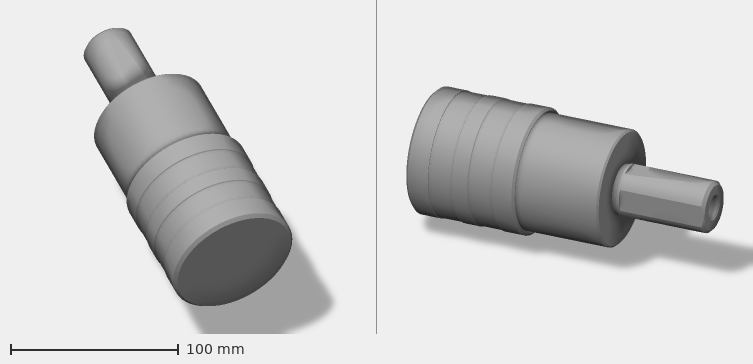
import cadquery as cq
import math

TOTAL_LENGTH = 184.55

SHANK_LENGTH = 60.0
SHANK_RADIUS = 16.0
SHANK_CHAMFER = 2.0
NECK_LENGTH = 2.6
NECK_DEPTH = 0.5

BODY_RADIUS = 36.0
BODY_CHAMFER = 1.2

COLLAR_RADIUS = 39.0
COLLAR_START = 53.55
COLLAR_FRONT_CHAMFER = 1.5
COLLAR_RECESS = 1.0
COLLAR_REAR_CHAMFER = 2.0
GROOVE_DEPTH = 0.5
FRONT_GROOVE_START = 68.4
FRONT_GROOVE_END = 84.0
REAR_GROOVE_START = 94.6
REAR_GROOVE_END = 109.55

FLAT_END = -5.0
SIDE_FLAT_OFFSET = 14.4
SLOPED_FLAT_ANGLE = 2.0
SLOPED_FLAT_LENGTH = 49.6
CUTTER_MARGIN = 5.0

BORE_RADIUS = 7.0
BORE_DEPTH = 40.0
BORE_CHAMFER = 1.0
STUB_RADIUS = 6.0
STUB_LENGTH = 10.0

SHANK_END = -SHANK_LENGTH
REAR_END = SHANK_END + TOTAL_LENGTH


def revolve_profile(points):
    """Turn a closed (x, radius) outline about the X axis."""
    outline = cq.Workplane("XY").polyline(points).close()
    return outline.revolve(360, (0, 0, 0), (1, 0, 0))


def turned_blank():
    neck_start = -NECK_LENGTH
    neck_radius = SHANK_RADIUS - NECK_DEPTH
    groove_radius = COLLAR_RADIUS - GROOVE_DEPTH
    return revolve_profile([
        (SHANK_END, 0),
        (SHANK_END, SHANK_RADIUS - SHANK_CHAMFER),
        (SHANK_END + SHANK_CHAMFER, SHANK_RADIUS),
        (neck_start - NECK_DEPTH, SHANK_RADIUS),
        (neck_start, neck_radius),
        (0, neck_radius),
        (0, BODY_RADIUS - BODY_CHAMFER),
        (BODY_CHAMFER, BODY_RADIUS),
        (COLLAR_START + COLLAR_RECESS, BODY_RADIUS),
        (COLLAR_START, BODY_RADIUS + COLLAR_RECESS),
        (COLLAR_START, COLLAR_RADIUS - COLLAR_FRONT_CHAMFER),
        (COLLAR_START + COLLAR_FRONT_CHAMFER, COLLAR_RADIUS),
        (FRONT_GROOVE_START - GROOVE_DEPTH, COLLAR_RADIUS),
        (FRONT_GROOVE_START, groove_radius),
        (FRONT_GROOVE_END - GROOVE_DEPTH, groove_radius),
        (FRONT_GROOVE_END, COLLAR_RADIUS),
        (REAR_GROOVE_START - GROOVE_DEPTH, COLLAR_RADIUS),
        (REAR_GROOVE_START, groove_radius),
        (REAR_GROOVE_END, groove_radius),
        (REAR_GROOVE_END, COLLAR_RADIUS),
        (REAR_END - COLLAR_REAR_CHAMFER, COLLAR_RADIUS),
        (REAR_END, COLLAR_RADIUS - COLLAR_REAR_CHAMFER),
        (REAR_END, 0),
    ])


def side_flat_cutter():
    """Block that cuts the level flat on the +Y side, open at the shank end."""
    start = SHANK_END - CUTTER_MARGIN
    return cq.Workplane("XY").box(
        FLAT_END - start, SHANK_RADIUS, 2 * SHANK_RADIUS, centered=(False, False, True)
    ).translate((start, SIDE_FLAT_OFFSET, 0))


def sloped_flat_cutter():
    """Tilted block that cuts the flat on the +Z side, deepest next to the neck."""
    angle = math.radians(SLOPED_FLAT_ANGLE)
    deepest_height = SHANK_RADIUS - SLOPED_FLAT_LENGTH * math.tan(angle)
    block_length = SLOPED_FLAT_LENGTH + CUTTER_MARGIN
    block = cq.Workplane("XY").box(
        block_length, 2 * SHANK_RADIUS, SHANK_RADIUS, centered=(False, True, False)
    ).translate((-block_length, 0, 0))
    tilted = block.rotate((0, 0, 0), (0, 1, 0), SLOPED_FLAT_ANGLE)
    return tilted.translate((FLAT_END, 0, deepest_height))


def bore_cutter():
    """Chamfered blind bore that leaves the stub standing on the floor."""
    floor = SHANK_END + BORE_DEPTH
    stub_top = floor - STUB_LENGTH
    return revolve_profile([
        (SHANK_END, 0),
        (SHANK_END, BORE_RADIUS + BORE_CHAMFER),
        (SHANK_END + BORE_CHAMFER, BORE_RADIUS),
        (floor, BORE_RADIUS),
        (floor, STUB_RADIUS),
        (stub_top, STUB_RADIUS),
        (stub_top, 0),
    ])


result = (
    turned_blank()
    .cut(side_flat_cutter())
    .cut(sloped_flat_cutter())
    .cut(bore_cutter())
)